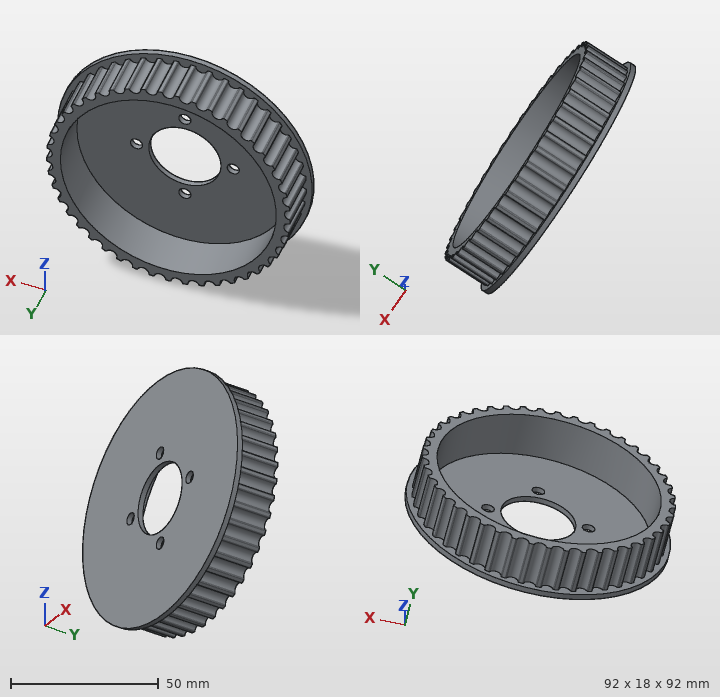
import cadquery as cq
import math

flange_diameter = 92.0
flange_thickness = 2.0

overall_width = 18.0
ring_width = overall_width - flange_thickness
ring_diameter = 88.0
ring_bore_diameter = 78.0
tooth_count = 45

groove_radius = 2.1
groove_depth = 2.0
tip_fillet_radius = 0.4

center_hole_diameter = 26.0
bolt_hole_diameter = 4.3
bolt_circle_diameter = 35.0
bolt_hole_count = 4


def polar_point(radius, angle):
    """Point at an angle in radians measured from +Z towards +X."""
    return radius * math.sin(angle), radius * math.cos(angle)


def point_toward(start, end, distance):
    """Point at a distance from start along the line to end."""
    ratio = distance / math.dist(start, end)
    return tuple(a + ratio * (b - a) for a, b in zip(start, end))


def toothed_outline():
    """Closed ring outline: groove, tip fillet, tip land and tip fillet for each tooth."""
    ring_radius = ring_diameter / 2
    root_radius = ring_radius - groove_depth
    groove_center_radius = root_radius + groove_radius
    fillet_center_radius = ring_radius - tip_fillet_radius
    pitch_angle = math.tau / tooth_count

    center_distance = groove_radius + tip_fillet_radius
    fillet_angle = math.acos(
        (groove_center_radius**2 + fillet_center_radius**2 - center_distance**2)
        / (2 * groove_center_radius * fillet_center_radius)
    )

    def fillet_points(groove_angle, side):
        """Groove end, middle and land end of the tip fillet on one side of a groove."""
        land_angle = groove_angle + side * fillet_angle
        fillet_center = polar_point(fillet_center_radius, land_angle)
        groove_center = polar_point(groove_center_radius, groove_angle)
        groove_end = point_toward(fillet_center, groove_center, tip_fillet_radius)
        land_end = polar_point(ring_radius, land_angle)
        chord_middle = tuple((a + b) / 2 for a, b in zip(groove_end, land_end))
        middle = point_toward(fillet_center, chord_middle, tip_fillet_radius)
        return groove_end, middle, land_end

    first_groove_end = fillet_points(0, -1)[0]
    outline = cq.Workplane("XZ").moveTo(*first_groove_end)
    for tooth in range(tooth_count):
        groove_angle = tooth * pitch_angle
        next_groove_angle = groove_angle + pitch_angle
        groove_end, middle, land_start = fillet_points(groove_angle, 1)
        next_groove_start, next_middle, land_end = fillet_points(next_groove_angle, -1)
        root = polar_point(root_radius, groove_angle)
        land_middle = polar_point(ring_radius, groove_angle + pitch_angle / 2)
        outline = (
            outline.threePointArc(root, groove_end)
            .threePointArc(middle, land_start)
            .threePointArc(land_middle, land_end)
            .threePointArc(next_middle, next_groove_start)
        )
    return outline.close()


def make_flange():
    """Flange disc with the center hole and the bolt holes."""
    disc = cq.Workplane("XZ").circle(flange_diameter / 2).extrude(-flange_thickness)
    center_hole = cq.Workplane("XZ").circle(center_hole_diameter / 2).extrude(-flange_thickness)
    bolt_holes = (
        cq.Workplane("XZ")
        .polarArray(bolt_circle_diameter / 2, 0, 360, bolt_hole_count)
        .circle(bolt_hole_diameter / 2)
        .extrude(-flange_thickness)
    )
    return disc.cut(center_hole).cut(bolt_holes)


def make_toothed_ring():
    """Toothed ring, open in the middle down to the flange."""
    body = toothed_outline().extrude(-ring_width)
    bore = cq.Workplane("XZ").circle(ring_bore_diameter / 2).extrude(-ring_width)
    return body.cut(bore).translate((0, flange_thickness, 0))


result = make_flange().union(make_toothed_ring())